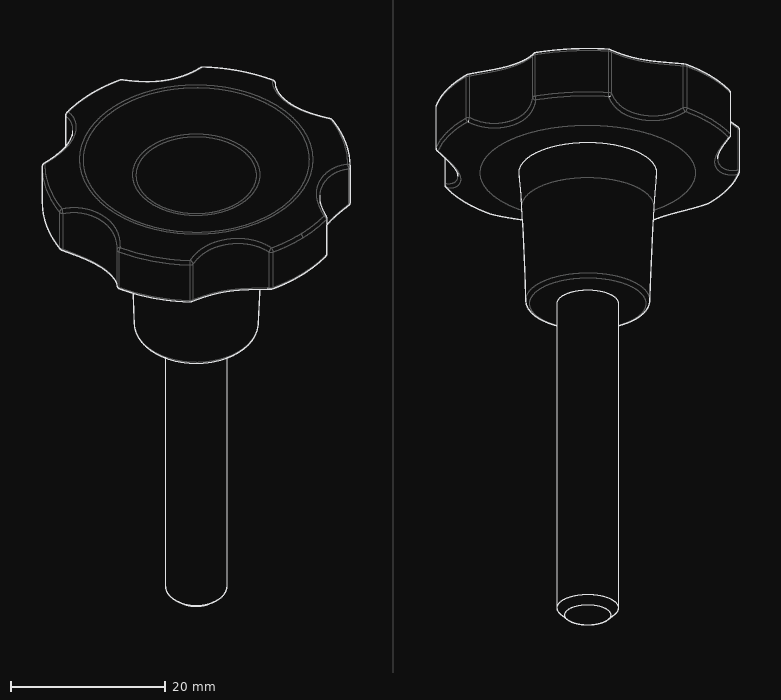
import cadquery as cq
import math

pin_length = 45.0
hub_height = 18.9
head_height = 9.1
hub_base_z = pin_length
head_base_z = hub_base_z + hub_height
top_z = head_base_z + head_height

pin_radius = 4.0
tip_chamfer = 1.0

hub_base_radius = 8.05
hub_break_radius = 8.6
hub_top_radius = 8.95
upper_taper_height = 4.9
hub_break_z = head_base_z - upper_taper_height
hub_base_fillet = 0.5

head_radius = 20.0
upper_dome_start = 15.0
upper_dome_radius = 15.0
lower_dome_start = 14.0
lower_dome_radius = 12.0

scallop_count = 6
first_scallop_angle = 180 / scallop_count
scallop_radius = 7.2
scallop_floor_radius = 17.0
corner_fillet = 0.5
rim_fillet = 0.5

dish_radius = 14.9
dish_floor_radius = 8.05
dish_depth = 2.65
dish_edge_fillet = 1.3


def dome_drop(dome_start, dome_radius, radius):
    """Height lost by a dome between its flat centre and the given radius."""
    run = radius - dome_start
    return dome_radius - math.sqrt(dome_radius**2 - run**2)


def revolve_about_z(profile):
    return profile.revolve(360, (0, 0, 0), (0, 1, 0))


def make_pin():
    pin = cq.Workplane("XY").circle(pin_radius).extrude(hub_break_z)
    return pin.faces("<Z").chamfer(tip_chamfer)


def make_hub():
    profile = (
        cq.Workplane("XZ")
        .moveTo(0, hub_base_z)
        .lineTo(hub_base_radius, hub_base_z)
        .lineTo(hub_break_radius, hub_break_z)
        .lineTo(hub_top_radius, head_base_z)
        .lineTo(0, head_base_z)
        .close()
    )
    hub = revolve_about_z(profile)
    return hub.faces("<Z").edges().fillet(hub_base_fillet)


def make_head_disc():
    upper_mid = (upper_dome_start + head_radius) / 2
    lower_mid = (lower_dome_start + head_radius) / 2

    def upper_point(radius):
        return (radius, top_z - dome_drop(upper_dome_start, upper_dome_radius, radius))

    def lower_point(radius):
        return (radius, head_base_z + dome_drop(lower_dome_start, lower_dome_radius, radius))

    profile = (
        cq.Workplane("XZ")
        .moveTo(0, head_base_z)
        .lineTo(lower_dome_start, head_base_z)
        .threePointArc(lower_point(lower_mid), lower_point(head_radius))
        .lineTo(*upper_point(head_radius))
        .threePointArc(upper_point(upper_mid), upper_point(upper_dome_start))
        .lineTo(0, top_z)
        .close()
    )
    return revolve_about_z(profile)


def cut_scallops(head):
    scallops = (
        cq.Workplane("XY", origin=(0, 0, head_base_z))
        .polarArray(scallop_floor_radius + scallop_radius, first_scallop_angle, 360, scallop_count)
        .circle(scallop_radius)
        .extrude(head_height)
    )
    return head.cut(scallops)


def round_rim(head):
    head = head.edges("|Z").fillet(corner_fillet)
    wall = head.faces("%CYLINDER or %BSPLINE")
    return head.newObject(wall.edges("not |Z").vals()).fillet(rim_fillet)


def make_dish():
    profile = (
        cq.Workplane("XZ")
        .moveTo(0, top_z - dish_depth)
        .lineTo(dish_floor_radius, top_z - dish_depth)
        .lineTo(dish_radius, top_z)
        .lineTo(0, top_z)
        .close()
    )
    return revolve_about_z(profile)


def cut_dish(head):
    head = head.cut(make_dish())
    dish_wall = head.faces("%CONE")
    return head.newObject(dish_wall.edges("%CIRCLE").vals()).fillet(dish_edge_fillet)


head = cut_dish(round_rim(cut_scallops(make_head_disc())))
result = make_pin().union(make_hub()).union(head)